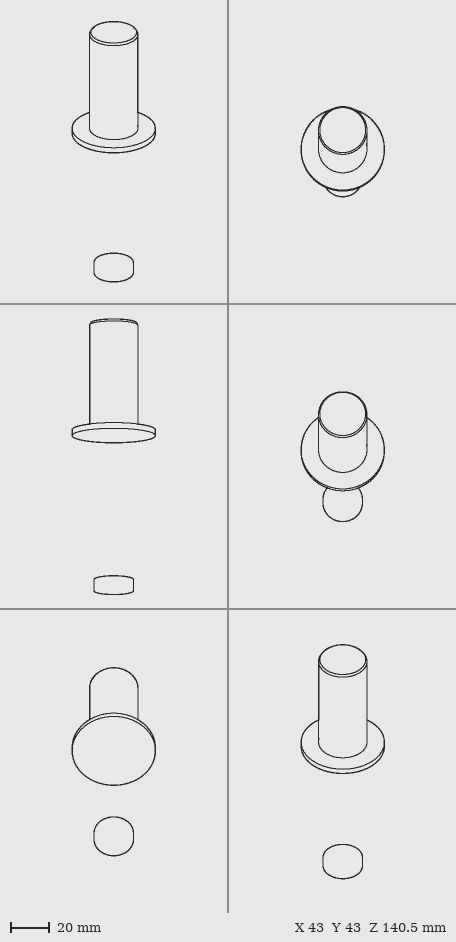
import cadquery as cq
import math

flange_diameter = 43.0
flange_thickness = 3.0
shank_diameter = 25.0
shank_length = 56.0
lead_in_width = 0.7
lead_in_angle = 30.0
lead_in_height = lead_in_width / math.tan(math.radians(lead_in_angle))

disc_diameter = 20.5
disc_thickness = 6.5
disc_rim_radius = 0.6

overall_height = 140.5
flange_bottom = overall_height - shank_length - flange_thickness


def make_pin():
    """Round flange carrying a plain shank with a tapered lead-in at its tip."""
    flange = (
        cq.Workplane("XY")
        .workplane(offset=flange_bottom)
        .circle(flange_diameter / 2)
        .extrude(flange_thickness)
    )
    blank = flange.faces(">Z").workplane().circle(shank_diameter / 2).extrude(shank_length)
    return blank.faces(">Z").edges().chamfer(lead_in_height, lead_in_width)


def make_disc():
    """Flat disc, resting on Z = 0, with both rims rounded."""
    blank = cq.Workplane("XY").circle(disc_diameter / 2).extrude(disc_thickness)
    return blank.faces("|Z").edges().fillet(disc_rim_radius)


pin = make_pin()
disc = make_disc()

result = cq.Compound.makeCompound([pin.val(), disc.val()])